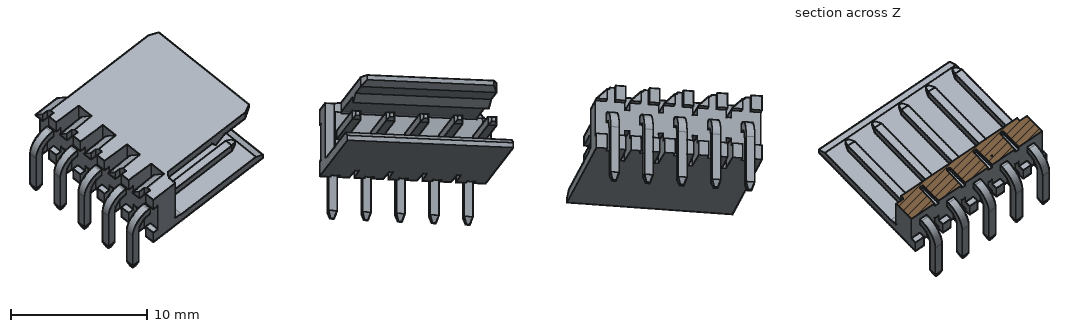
import cadquery as cq
import math


pin_count = 5
pitch = 2.53
pin_size = 0.64
pin_tip_size = 0.29
pin_tip_length = 0.53
pin_z = 2.55
pin_bottom = -2.89
pin_back = 10.73
bend_inner_radius = 1.0
bend_outer_radius = bend_inner_radius + pin_size
pin_positions = [(i - (pin_count - 1) / 2) * pitch for i in range(pin_count)]

width = 12.4
height = 5.0
front_y = 1.32
back_y = 12.61
wall_front_y = 1.8
wall_side_back_y = 3.6
wall_back_y = 3.91
wall_back_half_width = 5.51
lip_height = 1.12
bottom_thickness = 0.77
top_thickness = 0.72
top_half_width = pin_positions[-1]
top_underside = height - top_thickness

lead_length = 0.73
lead_edge_thickness = 0.37
corner_chamfer = 0.34

root_length = 0.32
root_height = 0.1

latch_back_y = 9.77
latch_tip_y = 8.83
latch_front_y = 8.51
latch_drop = 0.48

slot_width = 0.38
slot_draft = 0.05
slot_height = 1.69
ramp_size = 1.12
slot_length = wall_side_back_y - front_y


def extrude_yz(points, x_start, x_end):
    """Prism with a (Y, Z) outline between two X positions."""
    return cq.Workplane("YZ").polyline(points).close().extrude(x_end - x_start).translate((x_start, 0, 0))


def box(x_range, y_range, z_range):
    """Box between the given limits."""
    ranges = (x_range, y_range, z_range)
    size = [high - low for low, high in ranges]
    low_corner = [low for low, high in ranges]
    return cq.Workplane("XY").box(*size, centered=False).translate(tuple(low_corner))


def make_base():
    """Bottom plate with its lead-in, its root slope and the front foot."""
    root_z = bottom_thickness + root_height
    outline = [
        (front_y, 0),
        (back_y, 0),
        (back_y, lead_edge_thickness),
        (back_y - lead_length, bottom_thickness),
        (wall_back_y + root_length, bottom_thickness),
        (wall_back_y, root_z),
        (wall_front_y, root_z),
        (wall_front_y, lip_height),
        (front_y, lip_height),
    ]
    return extrude_yz(outline, -width / 2, width / 2)


def make_wall():
    """Upright wall with a front lip on top and a narrower pad on its back face."""
    outline = [
        (wall_front_y, 0),
        (wall_side_back_y, 0),
        (wall_side_back_y, height),
        (front_y, height),
        (front_y, height - lip_height),
        (wall_front_y, height - lip_height),
    ]
    wall = extrude_yz(outline, -width / 2, width / 2)
    pad = box(
        (-wall_back_half_width, wall_back_half_width),
        (wall_side_back_y, wall_back_y),
        (0, top_underside),
    )
    return wall.union(pad)


def make_top_plate():
    """Top plate with a lead-in, clipped back corners, a latch ridge and a gusset on its +X side."""
    outline = [
        (wall_side_back_y, height),
        (back_y, height),
        (back_y, height - lead_edge_thickness),
        (back_y - lead_length, top_underside),
        (latch_back_y, top_underside),
        (latch_tip_y, top_underside - latch_drop),
        (latch_front_y, top_underside),
        (wall_back_y + root_length, top_underside),
        (wall_back_y, top_underside - root_height),
        (wall_side_back_y, top_underside - root_height),
    ]
    plate = extrude_yz(outline, -top_half_width, top_half_width)
    for side in (-1, 1):
        corner = [
            (side * top_half_width, back_y),
            (side * (top_half_width - corner_chamfer), back_y),
            (side * top_half_width, back_y - lead_length),
        ]
        plate = plate.cut(cq.Workplane("XY").polyline(corner).close().extrude(height))
    gusset_outline = [
        (top_half_width, wall_side_back_y),
        (wall_back_half_width, wall_side_back_y),
        (top_half_width, wall_back_y),
    ]
    gusset = cq.Workplane("XY", origin=(0, 0, top_underside)).polyline(gusset_outline).close()
    return plate.union(gusset.extrude(top_thickness))


def loft_from_front(front_points, back_points):
    """Solid between an (X, Z) outline on the housing front and one at the slots' inner end."""
    front = cq.Workplane("XZ", origin=(0, front_y, 0))
    return (
        front.polyline(front_points).close()
        .workplane(offset=-slot_length)
        .polyline(back_points).close()
        .loft(ruled=True)
    )


def upper_slot_outline(x, inset):
    """Slot centred on x whose right side opens into a 45 degree ramp up to the next pin's centre."""
    half = slot_width / 2 - inset
    ramp_top_x = x + pitch / 2 - inset
    return [
        (x - half, height),
        (x - half, height - slot_height),
        (x + half, height - slot_height),
        (x + half, height - (ramp_top_x - x - half)),
        (ramp_top_x, height),
    ]


def lower_slot_outline(x, inset):
    """Plain rectangular slot centred on x, open at the underside."""
    half = slot_width / 2 - inset
    return [(x - half, 0), (x - half, slot_height), (x + half, slot_height), (x + half, 0)]


def cut_slots(body):
    """Cut the slots midway between neighbouring pins, and the end ramp on the -X side."""
    for pin_x in pin_positions[:-1]:
        x = pin_x + pitch / 2
        for outline in (upper_slot_outline, lower_slot_outline):
            body = body.cut(loft_from_front(outline(x, 0), outline(x, slot_draft)))
    end_ramp = [
        (-width / 2, height - ramp_size),
        (-width / 2, height),
        (-width / 2 + ramp_size, height),
    ]
    return body.cut(loft_from_front(end_ramp, end_ramp))


def cut_lip_notches(body):
    """Cut a pin-wide notch through the front lip and foot at every pin."""
    for x in pin_positions:
        notch = box((x - pin_size / 2, x + pin_size / 2), (front_y, wall_front_y), (0, height))
        body = body.cut(notch)
    return body


def make_tip(plane):
    """Blunt pyramid standing on the given plane."""
    return (
        cq.Workplane(plane).rect(pin_size, pin_size)
        .workplane(offset=pin_tip_length).rect(pin_tip_size, pin_tip_size)
        .loft()
    )


def make_pin(x):
    """Square pin bent through a right angle, with a blunt pyramid tip at each end."""
    half = pin_size / 2
    bend_y = bend_outer_radius
    bend_z = pin_z + half - bend_outer_radius
    straight_back = pin_back - pin_tip_length
    straight_bottom = pin_bottom + pin_tip_length
    diagonal = math.sqrt(0.5)
    shaft = (
        cq.Workplane("YZ", origin=(x - half, 0, 0))
        .moveTo(straight_back, pin_z + half)
        .lineTo(bend_y, pin_z + half)
        .threePointArc(
            (bend_y - bend_outer_radius * diagonal, bend_z + bend_outer_radius * diagonal),
            (0, bend_z),
        )
        .lineTo(0, straight_bottom)
        .lineTo(pin_size, straight_bottom)
        .lineTo(pin_size, bend_z)
        .threePointArc(
            (bend_y - bend_inner_radius * diagonal, bend_z + bend_inner_radius * diagonal),
            (bend_y, pin_z - half),
        )
        .lineTo(straight_back, pin_z - half)
        .close()
        .extrude(pin_size)
    )
    back_tip = make_tip(cq.Plane((x, straight_back, pin_z), xDir=(1, 0, 0), normal=(0, 1, 0)))
    lower_tip = make_tip(cq.Plane((x, half, straight_bottom), xDir=(1, 0, 0), normal=(0, 0, -1)))
    return shaft.union(back_tip).union(lower_tip)


result = make_base().union(make_wall()).union(make_top_plate())
result = cut_lip_notches(cut_slots(result))
for pin_x in pin_positions:
    result = result.union(make_pin(pin_x))